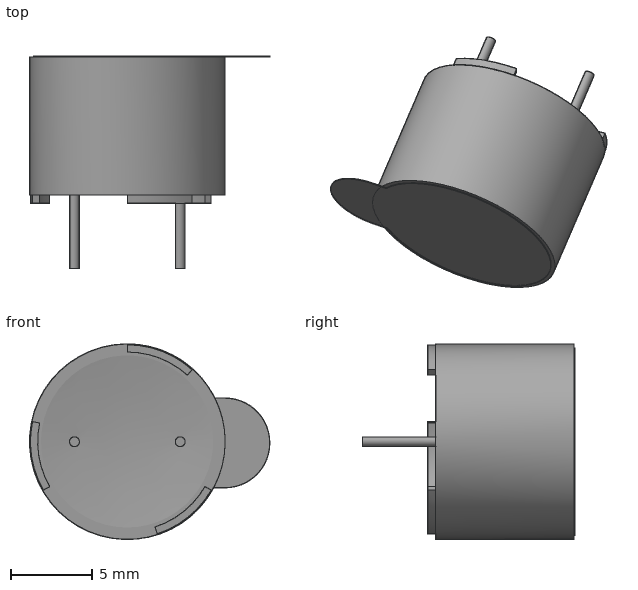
import cadquery as cq
import math

body_radius = 6.0
body_length = 8.5
overall_width = 14.75

dish_radius = 5.28
dish_depth = 0.4

pin_diameter = 0.6
pin_spacing = 6.49
pin_length = 4.5

foot_count = 3
foot_height = 0.5
foot_inner_radius = 11.0 / 2
foot_outer_radius = 5.95
foot_start_angle = 48.0
foot_sweep = 42.0

label_radius = 5.75
label_thickness = 0.06
tab_radius = 2.76
tab_center_x = overall_width - body_radius - tab_radius
tab_center_z = -0.07


def polar(radius, degrees):
    angle = math.radians(degrees)
    return radius * math.cos(angle), radius * math.sin(angle)


def front_plane(y):
    """Sketch plane at height y; sketch axes are X and Z, extrusion goes toward -Y."""
    return cq.Workplane("XZ", origin=(0, y, 0))


def make_body():
    """Cylinder with a shallow spherical dish in its pin-side face."""
    sphere_radius = (dish_radius**2 + dish_depth**2) / (2 * dish_depth)
    sphere_center_y = dish_depth - sphere_radius
    dish = cq.Workplane("XY").sphere(sphere_radius).translate((0, sphere_center_y, 0))
    return front_plane(body_length).circle(body_radius).extrude(body_length).cut(dish)


def make_pins():
    """Two pins that start inside the body, behind the dish surface."""
    return (
        front_plane(dish_depth)
        .pushPoints([(-pin_spacing / 2, 0), (pin_spacing / 2, 0)])
        .circle(pin_diameter / 2)
        .extrude(dish_depth + pin_length)
    )


def make_foot(start_angle):
    """Arc-shaped standoff on the rim around the dish."""
    middle_angle = start_angle + foot_sweep / 2
    end_angle = start_angle + foot_sweep
    return (
        front_plane(0)
        .moveTo(*polar(foot_outer_radius, start_angle))
        .threePointArc(polar(foot_outer_radius, middle_angle), polar(foot_outer_radius, end_angle))
        .lineTo(*polar(foot_inner_radius, end_angle))
        .threePointArc(polar(foot_inner_radius, middle_angle), polar(foot_inner_radius, start_angle))
        .close()
        .extrude(foot_height)
    )


def make_label():
    """Thin round label with a round-ended pull tab toward +X."""
    label_plane = front_plane(body_length + label_thickness)
    disc = label_plane.circle(label_radius).extrude(label_thickness)
    strip = (
        label_plane.center(tab_center_x / 2, tab_center_z)
        .rect(tab_center_x, 2 * tab_radius)
        .extrude(label_thickness)
    )
    tab_end = label_plane.center(tab_center_x, tab_center_z).circle(tab_radius).extrude(label_thickness)
    return disc.union(strip).union(tab_end)


result = make_body().union(make_pins()).union(make_label())
for index in range(foot_count):
    result = result.union(make_foot(foot_start_angle + index * 360 / foot_count))